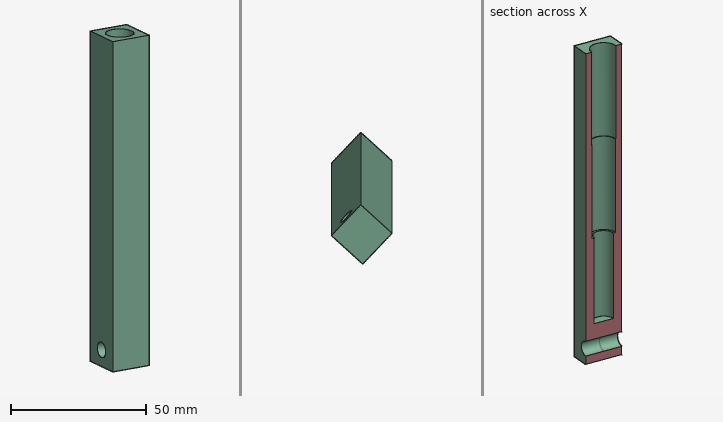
import cadquery as cq

length = 127.0
width_x = 15.9
width_y = 15.7

mouth_diameter = 10.4
mouth_depth = 38.1
middle_diameter = 10.0
middle_depth = 76.2
inner_diameter = 8.1
inner_depth = 111.1

cross_hole_diameter = 5.8
cross_hole_height = 6.5


def make_bar():
    return cq.Workplane("XY").box(width_x, width_y, length, centered=(True, True, False))


def make_bore(diameter, depth):
    """Vertical cylinder going down from the top face."""
    return cq.Workplane("XY", origin=(0, 0, length)).circle(diameter / 2).extrude(-depth)


def make_cross_hole():
    return (
        cq.Workplane("XZ", origin=(0, 0, cross_hole_height))
        .circle(cross_hole_diameter / 2)
        .extrude(width_y, both=True)
    )


bore_steps = [
    (mouth_diameter, mouth_depth),
    (middle_diameter, middle_depth),
    (inner_diameter, inner_depth),
]

result = make_bar().cut(make_cross_hole())
for step_diameter, step_depth in bore_steps:
    result = result.cut(make_bore(step_diameter, step_depth))